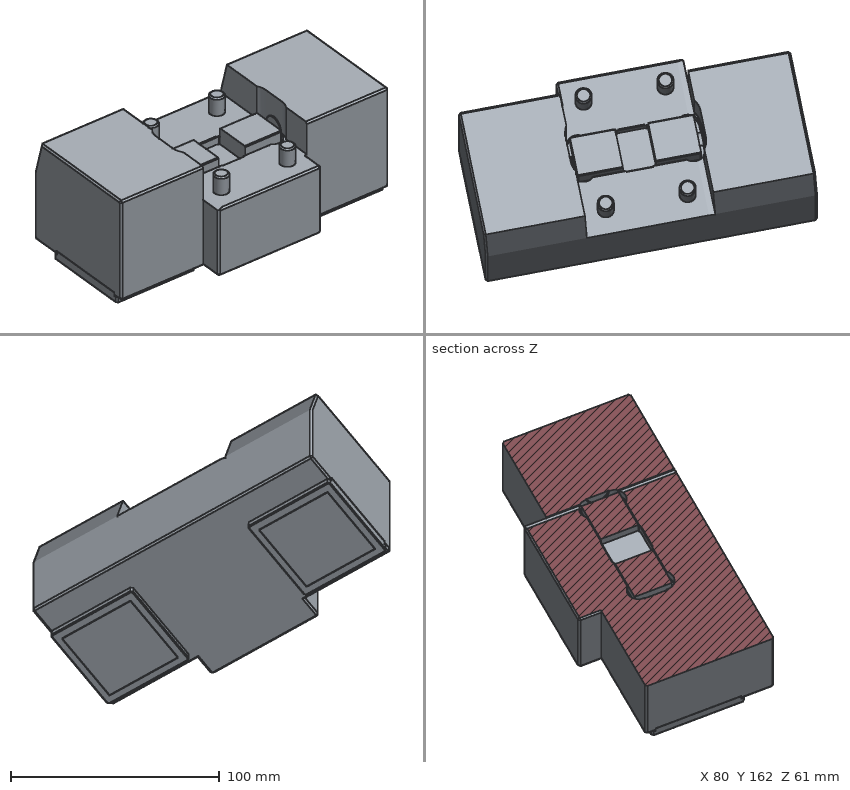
import cadquery as cq

OVERALL_X = 80.0
OVERALL_Y = 162.0
OVERALL_Z = 61.0

HOUSING_WIDTH = 68.0
HOUSING_BOTTOM = 3.9
DECK_Z = 42.6
SLOPE_SETBACK = 5.0
EDGE_CHAMFER = 1.0
SADDLE_FRONT_Y = -31.1
SADDLE_BACK_Y = 31.6

SIDE_BOX_HALF_Y = 31.1

LIP_RUN = 3.0
LIP_SLOPE_RUN = 2.3
LIP_SLOPE_DROP = 0.5
LIP_DROP = 0.8

POCKET_FLOOR_Z = 38.0
POCKET_HALF_X = 10.0
POCKET_END_Y = 32.4
POCKET_LIP = 0.5
RELIEF_DIAMETER = 11.0
RELIEF_HALF_X = 12.0
RECESS_END_Y = 33.0
RECESS_FLAT_HALF_X = 6.5
RECESS_CORNER_RADIUS = 9.7
BULGE_HALF_X = 10.5
BULGE_HALF_Y = 7.6
BULGE_CORNER_RADIUS = 1.22

KEY_INNER_Y = 8.1
KEY_OUTER_Y = 30.1
KEY_TOP_Z = 47.3
KEY_CHAMFER = 0.5

POST_DIAMETER = 8.0
POST_TOP_Z = 52.8
POST_CHAMFER = 0.8
POST_ROOT = 1.6
POST_PITCH_X = 55.4
POST_PITCH_Y = 40.0

DISC_DIAMETER = 11.8
DISC_FACE_Y = 32.7
DISC_Z = 43.1
DISC_CHAMFER = 0.3
DISC_ROOT = 0.8
CLEARANCE_DIAMETER = 12.0
CLEARANCE_START_Y = 30.3
CLEARANCE_CHAMFER = 0.5

FOOT_HALF_X = 24.6
FOOT_INNER_Y = 33.4
FOOT_CHAMFER = 1.0
FOOT_BOTTOM_CHAMFER = 0.5
PAD_HALF_X = 20.2
PAD_INSET_Y = 3.9
PAD_HEIGHT = 0.5
TAB_HALF_X = 22.7
TAB_TOP_Z = 6.0
TAB_RECESS = 0.2
TAB_DEPTH = 1.6

LEFT_X = -OVERALL_X / 2
RIGHT_X = OVERALL_X / 2
END_Y = OVERALL_Y / 2
TOWER_RIGHT_X = LEFT_X + HOUSING_WIDTH
RELIEF_RADIUS = RELIEF_DIAMETER / 2
RELIEF_X = RELIEF_HALF_X - RELIEF_RADIUS
RELIEF_Y = POCKET_END_Y - RELIEF_RADIUS


def block(x_range, y_range, z_range):
    """Axis-aligned box between the given limits."""
    (x0, x1), (y0, y1), (z0, z1) = x_range, y_range, z_range
    return cq.Workplane("XY").box(x1 - x0, y1 - y0, z1 - z0, centered=False).translate((x0, y0, z0))


def side_range(side, near, far):
    """Y limits of a span between two distances from the centre, on the given side."""
    return sorted((side * near, side * far))


def make_housing():
    """Towers and deck, with the -X face sloping inward above the deck."""
    profile = [
        (LEFT_X, HOUSING_BOTTOM),
        (TOWER_RIGHT_X, HOUSING_BOTTOM),
        (TOWER_RIGHT_X, OVERALL_Z),
        (LEFT_X + SLOPE_SETBACK, OVERALL_Z),
        (LEFT_X, DECK_Z),
    ]
    housing = cq.Workplane("XZ").polyline(profile).close().extrude(END_Y, both=True)
    housing = housing.edges("|Y and (>X or <Z)").chamfer(EDGE_CHAMFER)
    housing = housing.faces("<Y or >Y").edges().chamfer(EDGE_CHAMFER)
    saddle = block((LEFT_X, RIGHT_X), (SADDLE_FRONT_Y, SADDLE_BACK_Y), (DECK_Z, OVERALL_Z))
    return housing.cut(saddle)


def make_side_box():
    """Box reaching out to +X, flush with the deck; its -Y top edge is left for the lip."""
    box = block((0, RIGHT_X), (-SIDE_BOX_HALF_Y, SIDE_BOX_HALF_Y), (HOUSING_BOTTOM, DECK_Z))
    box = box.edges("|X and (>Y or <Z)").chamfer(EDGE_CHAMFER)
    return box.faces(">X").edges().chamfer(EDGE_CHAMFER)


def make_lip_cut():
    """Wedge removed along the -Y edge of the deck: a shallow slope, then a steeper bevel."""
    slope_start_y = SADDLE_FRONT_Y + LIP_RUN
    profile = [
        (slope_start_y, DECK_Z),
        (slope_start_y - LIP_SLOPE_RUN, DECK_Z - LIP_SLOPE_DROP),
        (SADDLE_FRONT_Y, DECK_Z - LIP_DROP),
        (SADDLE_FRONT_Y, DECK_Z),
    ]
    return cq.Workplane("YZ").polyline(profile).close().extrude(RIGHT_X, both=True)


def rounded_cut(half_x, end_y, corner_radius, bottom_z, top_z):
    """Upright rectangular cut, centred on the Z axis, with rounded corners."""
    slot = block((-half_x, half_x), (-end_y, end_y), (bottom_z, top_z))
    return slot.edges("|Z").fillet(corner_radius)


def make_pocket():
    """Key pocket: straight channel, wider middle and a pair of round reliefs at each end."""
    depth_range = (POCKET_FLOOR_Z, DECK_Z)
    pocket = block((-POCKET_HALF_X, POCKET_HALF_X), (-RELIEF_Y, RELIEF_Y), depth_range)
    pocket = pocket.union(rounded_cut(BULGE_HALF_X, BULGE_HALF_Y, BULGE_CORNER_RADIUS, *depth_range))
    pocket = pocket.union(block((-RELIEF_X, RELIEF_X), (-POCKET_END_Y, POCKET_END_Y), depth_range))
    reliefs = (
        cq.Workplane("XY", origin=(0, 0, POCKET_FLOOR_Z))
        .rect(2 * RELIEF_X, 2 * RELIEF_Y, forConstruction=True)
        .vertices()
        .circle(RELIEF_RADIUS)
        .extrude(DECK_Z - POCKET_FLOOR_Z)
    )
    return pocket.union(reliefs)


def lip_bevel(half_x, half_y):
    """Prism whose sloping sides bevel the top edges of a straight wall at +-half_x."""
    profile = [
        (-half_x, DECK_Z - POCKET_LIP),
        (half_x, DECK_Z - POCKET_LIP),
        (half_x + POCKET_LIP, DECK_Z),
        (-half_x - POCKET_LIP, DECK_Z),
    ]
    return cq.Workplane("XZ").polyline(profile).close().extrude(half_y, both=True)


def make_pocket_lip():
    """Bevel at deck level along the channel walls and along the bulge walls."""
    bevel_end_y = RELIEF_Y - RELIEF_RADIUS / 2
    channel_bevel = lip_bevel(POCKET_HALF_X, bevel_end_y)
    bulge_bevel = lip_bevel(BULGE_HALF_X, BULGE_HALF_Y - BULGE_CORNER_RADIUS)
    return channel_bevel.union(bulge_bevel)


def make_tower_recess():
    """Clearance cut in both tower walls above the pocket ends."""
    half_x = RECESS_FLAT_HALF_X + RECESS_CORNER_RADIUS
    return rounded_cut(half_x, RECESS_END_Y, RECESS_CORNER_RADIUS, DECK_Z, OVERALL_Z)


def make_key(side):
    """Raised key on one side of the pocket, bevelled except at its inner end."""
    y_range = side_range(side, KEY_INNER_Y, KEY_OUTER_Y)
    key = block((-POCKET_HALF_X, POCKET_HALF_X), y_range, (POCKET_FLOOR_Z, KEY_TOP_Z))
    outer_face = ">Y" if side > 0 else "<Y"
    bevelled_edges = key.faces(">Z").edges("|Y").add(key.faces(outer_face).edges("|Z"))
    return bevelled_edges.chamfer(KEY_CHAMFER)


def y_cylinder(diameter, side, near_y, far_y):
    """Cylinder along Y on the disc axis, on the given side, between two distances from the centre."""
    start = cq.Workplane("XZ", origin=(0, side * near_y, DISC_Z))
    return start.circle(diameter / 2).extrude(-side * (far_y - near_y))


def make_disc_clearance(side):
    """Round cut that leaves a trough in the pocket floor in front of the wall disc."""
    cut = y_cylinder(CLEARANCE_DIAMETER, side, CLEARANCE_START_Y, RECESS_END_Y)
    return cut.faces("<Y" if side > 0 else ">Y").chamfer(CLEARANCE_CHAMFER)


def make_disc(side):
    """Bevelled disc standing slightly out of the tower wall."""
    disc = y_cylinder(DISC_DIAMETER, side, DISC_FACE_Y, RECESS_END_Y + DISC_ROOT)
    return disc.faces("<Y" if side > 0 else ">Y").chamfer(DISC_CHAMFER)


def make_posts():
    """Four bevelled posts, rooted a little below the deck so that they join it."""
    root_z = DECK_Z - POST_ROOT
    posts = (
        cq.Workplane("XY", origin=(0, 0, root_z))
        .rect(POST_PITCH_X, POST_PITCH_Y, forConstruction=True)
        .vertices()
        .circle(POST_DIAMETER / 2)
        .extrude(POST_TOP_Z - root_z)
    )
    return posts.faces(">Z").edges().chamfer(POST_CHAMFER)


def make_tab_recess(side):
    """Shallow cut in the tower's end face that sets the foot's tab just below that face."""
    y_range = side_range(side, END_Y - TAB_RECESS, END_Y)
    return block((-TAB_HALF_X, TAB_HALF_X), y_range, (HOUSING_BOTTOM, TAB_TOP_Z))


def make_foot(side):
    """Foot plate under one tower, with a thin pad below it and a tab rising up the end face."""
    outer_y = END_Y - TAB_RECESS
    plate_y = side_range(side, FOOT_INNER_Y, outer_y)
    plate = block((-FOOT_HALF_X, FOOT_HALF_X), plate_y, (PAD_HEIGHT, HOUSING_BOTTOM))
    plate = plate.edges("|Z").chamfer(FOOT_CHAMFER)
    plate = plate.faces("<Z").edges().chamfer(FOOT_BOTTOM_CHAMFER)
    pad_y = side_range(side, FOOT_INNER_Y + PAD_INSET_Y, outer_y - PAD_INSET_Y)
    pad = block((-PAD_HALF_X, PAD_HALF_X), pad_y, (0, PAD_HEIGHT))
    tab_y = side_range(side, outer_y - TAB_DEPTH, outer_y)
    tab = block((-TAB_HALF_X, TAB_HALF_X), tab_y, (HOUSING_BOTTOM, TAB_TOP_Z))
    return plate.union(pad).union(tab)


result = make_housing().union(make_side_box())
for cut in (make_lip_cut(), make_tower_recess(), make_pocket(), make_pocket_lip()):
    result = result.cut(cut)
result = result.union(make_posts())
for side in (-1, 1):
    result = result.cut(make_tab_recess(side)).cut(make_disc_clearance(side))
    result = result.union(make_disc(side)).union(make_key(side)).union(make_foot(side))